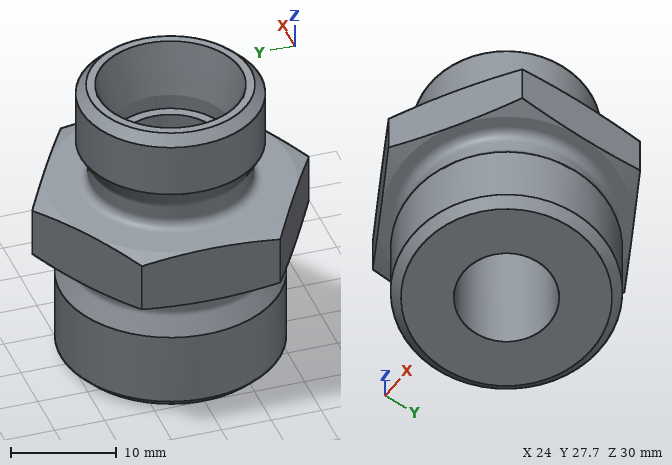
import cadquery as cq
import math

length = 30.0

hex_width = 24.0
hex_bottom = 13.0
hex_top = 19.0
hex_chamfer_angle = 15.0
corner_clearance = 0.3

upper_diameter = 18.0
upper_neck_diameter = 15.7
upper_thread_end = 23.58
lower_diameter = 22.0
lower_neck_diameter = 19.7
lower_thread_end = 8.4
end_chamfer = 1.0
undercut_angle = 30.0
undercut_radius = 1.0

bore_diameter = 10.0
socket_diameter = 12.0
socket_depth = 7.0
mouth_diameter = 14.3
socket_half_angle = 12.0


def tangent(degrees):
    return math.tan(math.radians(degrees))


def threaded_end(diameter, neck_diameter, body_length, collar_distance):
    """End with its face at Z = 0, joined through a filleted undercut to a collar above."""
    radius = diameter / 2
    neck_radius = neck_diameter / 2
    cone_length = (radius - neck_radius) / tangent(undercut_angle)
    neck_start = body_length + cone_length

    blend = undercut_radius * tangent(undercut_angle / 2)
    angle = math.radians(undercut_angle)
    cone_point = (neck_radius + blend * math.sin(angle), neck_start - blend * math.cos(angle))
    neck_point = (neck_radius, neck_start + blend)
    centre = (neck_radius + undercut_radius, neck_start + blend)
    blend_middle = (
        centre[0] - undercut_radius * math.cos(angle / 2),
        centre[1] - undercut_radius * math.sin(angle / 2),
    )

    fillet_start = collar_distance - undercut_radius
    fillet_middle = (
        neck_radius + undercut_radius * (1 - math.sqrt(0.5)),
        fillet_start + undercut_radius * math.sqrt(0.5),
    )
    return (
        cq.Workplane("XZ")
        .moveTo(0, 0)
        .lineTo(radius - end_chamfer, 0)
        .lineTo(radius, end_chamfer)
        .lineTo(radius, body_length)
        .lineTo(*cone_point)
        .threePointArc(blend_middle, neck_point)
        .lineTo(neck_radius, fillet_start)
        .threePointArc(fillet_middle, (neck_radius + undercut_radius, collar_distance))
        .lineTo(0, collar_distance)
        .close()
        .revolve(360, (0, 0), (0, 1))
    )


def hex_collar():
    """Hexagonal prism with its corners turned down to a shallow cone on both faces."""
    corner_diameter = hex_width / math.cos(math.radians(30))
    prism = (
        cq.Workplane("XY")
        .workplane(offset=hex_bottom)
        .polygon(6, corner_diameter)
        .extrude(hex_top - hex_bottom)
        .rotate((0, 0, 0), (0, 0, 1), 30)
    )
    face_radius = hex_width / 2
    outer_radius = corner_diameter / 2 + corner_clearance
    drop = (outer_radius - face_radius) * tangent(hex_chamfer_angle)
    envelope = (
        cq.Workplane("XZ")
        .polyline([
            (0, hex_bottom),
            (face_radius, hex_bottom),
            (outer_radius, hex_bottom + drop),
            (outer_radius, hex_top - drop),
            (face_radius, hex_top),
            (0, hex_top),
        ])
        .close()
        .revolve(360, (0, 0), (0, 1))
    )
    return prism.intersect(envelope)


def passage():
    """Through bore, stepped out to a short cylinder and a cone at the upper mouth."""
    bore_radius = bore_diameter / 2
    socket_radius = socket_diameter / 2
    mouth_radius = mouth_diameter / 2
    socket_floor = length - socket_depth
    cone_start = length - (mouth_radius - socket_radius) / tangent(socket_half_angle)
    return (
        cq.Workplane("XZ")
        .polyline([
            (0, 0),
            (bore_radius, 0),
            (bore_radius, socket_floor),
            (socket_radius, socket_floor),
            (socket_radius, cone_start),
            (mouth_radius, length),
            (0, length),
        ])
        .close()
        .revolve(360, (0, 0), (0, 1))
    )


lower_end = threaded_end(lower_diameter, lower_neck_diameter, lower_thread_end, hex_bottom)
upper_end = (
    threaded_end(upper_diameter, upper_neck_diameter, length - upper_thread_end, length - hex_top)
    .rotate((0, 0, 0), (1, 0, 0), 180)
    .translate((0, 0, length))
)
result = hex_collar().union(lower_end).union(upper_end).cut(passage())